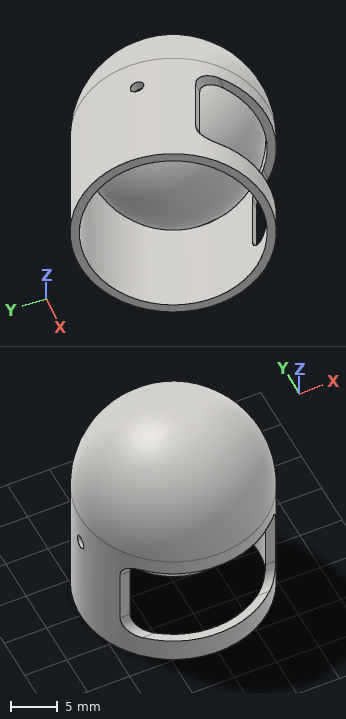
import cadquery as cq

outer_diameter = 22.0
outer_radius = outer_diameter / 2
bore_radius = 10.0
total_height = 26.9
dome_center_height = total_height - outer_radius

window_back_y = -6.03
window_bottom = 3.01
window_top = 13.97
window_corner_radius = 2.0

side_hole_diameter = 1.5
side_hole_height = 11.97

ball_clearance = 0.1
ball_radius = bore_radius - ball_clearance


def make_domed_cylinder(radius):
    """Solid cylinder from the base plane, topped by a hemisphere of the same radius."""
    return (
        cq.Workplane("XZ")
        .lineTo(radius, 0)
        .lineTo(radius, dome_center_height)
        .radiusArc((0, dome_center_height + radius), -radius)
        .close()
        .revolve(360, (0, 0), (0, 1))
    )


def make_window_cutter():
    """Block across the full width, rounded along its two back edges."""
    return (
        cq.Workplane("XY")
        .box(outer_diameter, outer_radius + window_back_y, window_top - window_bottom,
             centered=(True, False, False))
        .translate((0, -outer_radius, window_bottom))
        .edges("|X and >Y")
        .fillet(window_corner_radius)
    )


def make_side_hole_cutter():
    """Horizontal cylinder through the -X wall only."""
    return (
        cq.Workplane("YZ", origin=(-outer_radius, 0, side_hole_height))
        .circle(side_hole_diameter / 2)
        .extrude(outer_radius)
    )


def make_housing():
    shell = make_domed_cylinder(outer_radius).cut(make_domed_cylinder(bore_radius))
    return shell.cut(make_window_cutter()).cut(make_side_hole_cutter())


def make_ball():
    """Full sphere concentric with the dome."""
    return cq.Workplane("XY", origin=(0, 0, dome_center_height)).sphere(ball_radius)


housing = make_housing()
ball = make_ball()

result = cq.Compound.makeCompound([housing.val(), ball.val()])